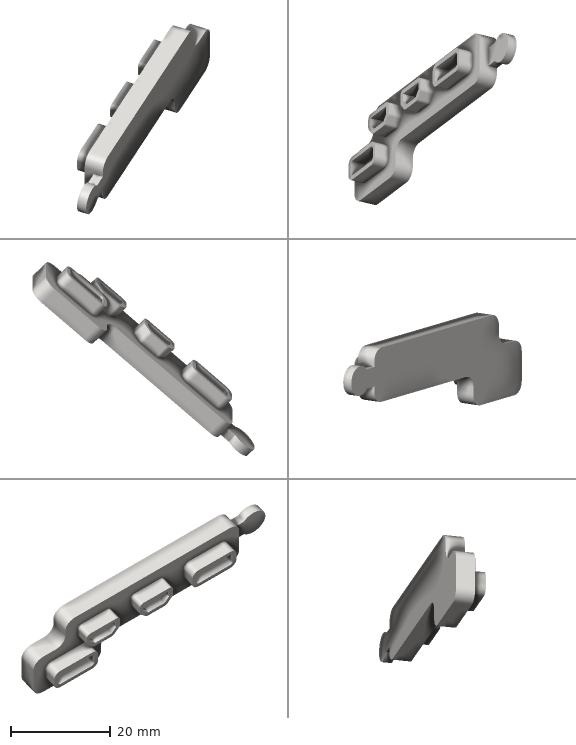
import cadquery as cq

plate_thickness = 4.0
arm_length = 43.55
arm_height = 11.15
foot_length = 16.9
foot_overhang = 8.0
foot_drop = 6.7
corner_radius = 2.5

tab_thickness = plate_thickness / 2
tab_neck_width = 4.0
tab_disc_radius = 3.05
tab_reach = 5.0

plug_height = 3.05
plug_wall = 0.95
cavity_depth = plug_height

wide_cavity_length = 9.05
wide_cavity_height = 3.2
wide_cavity_radius = 0.65

tapered_cavity_length = 6.4
tapered_cavity_height = 2.9
taper_run = 1.15
taper_rise = 1.25

wide_plug_inset = foot_length / 2
first_tapered_spacing = 14.55
second_tapered_spacing = 13.3

arm_top = arm_height / 2
arm_bottom = -arm_height / 2
foot_end = arm_length + foot_overhang
foot_start = foot_end - foot_length
cavity_bottom = -wide_cavity_height / 2


def make_plate():
    """Stepped plate with every convex and concave corner rounded."""
    outline = [
        (0, arm_bottom),
        (foot_start, arm_bottom),
        (foot_start, arm_bottom - foot_drop),
        (foot_end, arm_bottom - foot_drop),
        (foot_end, arm_top - foot_drop),
        (arm_length, arm_top - foot_drop),
        (arm_length, arm_top),
        (0, arm_top),
    ]
    plate = cq.Workplane("YZ").polyline(outline).close().extrude(plate_thickness)
    return plate.edges("|X").fillet(corner_radius)


def make_tab():
    """Neck and round grip, starting at the -Y end of the arm."""
    back = cq.Workplane("YZ", origin=(plate_thickness, 0, 0))
    neck = back.center(-tab_reach / 2, 0).rect(tab_reach, tab_neck_width).extrude(-tab_thickness)
    disc = back.center(-tab_reach, 0).circle(tab_disc_radius).extrude(-tab_thickness)
    return neck.union(disc)


def rounded_block(y, z, length, height, radius, depth):
    """Block with rounded long edges, running from the plug tips in +X."""
    block = cq.Workplane("YZ", origin=(-plug_height, y, z)).rect(length, height).extrude(depth)
    return block.edges("|X").fillet(radius)


def make_wide_plug(y, z):
    """Rounded rectangular plug centred at (y, z), and its cavity."""
    plug = rounded_block(
        y,
        z,
        wide_cavity_length + 2 * plug_wall,
        wide_cavity_height + 2 * plug_wall,
        wide_cavity_radius + plug_wall,
        plug_height,
    )
    cavity = rounded_block(
        y, z, wide_cavity_length, wide_cavity_height, wide_cavity_radius, cavity_depth
    )
    return plug, cavity


def make_tapered_plug(y):
    """Plug whose lower corners are cut off, centred on y, and its cavity."""
    half_length = tapered_cavity_length / 2
    cavity_top = cavity_bottom + tapered_cavity_height
    taper_top = cavity_bottom + taper_rise
    section = [
        (-half_length, cavity_top),
        (half_length, cavity_top),
        (half_length, taper_top),
        (half_length - taper_run, cavity_bottom),
        (taper_run - half_length, cavity_bottom),
        (-half_length, taper_top),
    ]
    tips = cq.Workplane("YZ", origin=(-plug_height, y, 0))
    cavity = tips.polyline(section).close().extrude(cavity_depth)
    plug = tips.polyline(section).close().offset2D(plug_wall, "arc").extrude(plug_height)
    return plug, cavity


first_tapered_y = wide_plug_inset + first_tapered_spacing
second_tapered_y = first_tapered_y + second_tapered_spacing

plugs = [
    make_wide_plug(wide_plug_inset, 0),
    make_wide_plug(foot_end - wide_plug_inset, -foot_drop),
    make_tapered_plug(first_tapered_y),
    make_tapered_plug(second_tapered_y),
]

result = make_plate().union(make_tab())
for plug, cavity in plugs:
    result = result.union(plug).cut(cavity)